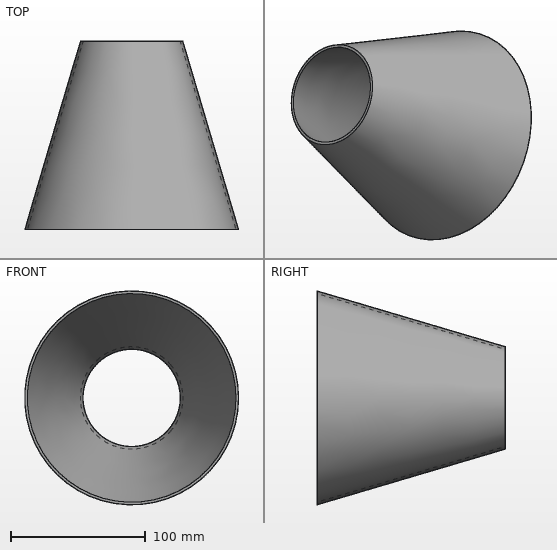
import cadquery as cq

LARGE_DIAMETER = 159.0
SMALL_DIAMETER = 76.1
WALL = 2.0
LENGTH = 140.0

LARGE_RADIUS = LARGE_DIAMETER / 2
SMALL_RADIUS = SMALL_DIAMETER / 2


def make_reducer():
    """Revolve the sloping wall section around the Y axis."""
    wall_section = [
        (LARGE_RADIUS - WALL, 0),
        (LARGE_RADIUS, 0),
        (SMALL_RADIUS, LENGTH),
        (SMALL_RADIUS - WALL, LENGTH),
    ]
    return cq.Workplane("XY").polyline(wall_section).close().revolve(360, (0, 0, 0), (0, 1, 0))


result = make_reducer()